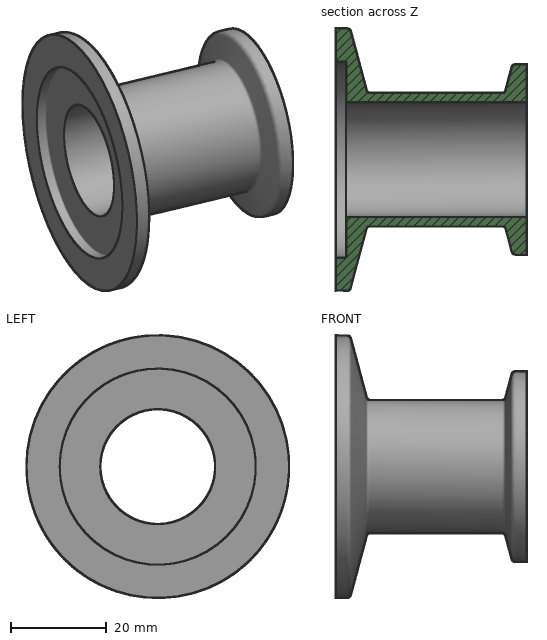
import cadquery as cq
import math

length = 40.0
large_flange_diameter = 55.0
small_flange_diameter = 40.0
tube_diameter = 28.0
bore_diameter = 24.0

rim_width = 3.0
cone_angle = 15.0
rim_round = 1.0
root_round = 0.5

recess_diameter = 41.05
recess_depth = 2.2
recess_floor_round = 0.3


def cone_root(flange_diameter):
    """Distance from a flange face to where its conical back meets the tube."""
    cone_height = (flange_diameter - tube_diameter) / 2
    return rim_width + cone_height * math.tan(math.radians(cone_angle))


def circle_at(x, diameter):
    """Selector for the edge circle of the given diameter in the plane at x."""
    reach = diameter / 2 + 0.05
    half_thickness = 0.05
    return cq.selectors.BoxSelector(
        (x - half_thickness, -reach, -reach),
        (x + half_thickness, reach, reach),
        boundingbox=True,
    )


def make_body():
    """Solid outer shape, with rounded rims and cone roots."""
    large_radius = large_flange_diameter / 2
    small_radius = small_flange_diameter / 2
    tube_radius = tube_diameter / 2
    large_root = cone_root(large_flange_diameter)
    small_root = length - cone_root(small_flange_diameter)
    small_rim = length - rim_width

    profile = [
        (0, 0),
        (0, large_radius),
        (rim_width, large_radius),
        (large_root, tube_radius),
        (small_root, tube_radius),
        (small_rim, small_radius),
        (length, small_radius),
        (length, 0),
    ]
    body = cq.Workplane("XY").polyline(profile).close().revolve(360, (0, 0, 0), (1, 0, 0))

    body = body.edges(circle_at(rim_width, large_flange_diameter)).fillet(rim_round)
    body = body.edges(circle_at(small_rim, small_flange_diameter)).fillet(rim_round)
    body = body.edges(circle_at(large_root, tube_diameter)).fillet(root_round)
    return body.edges(circle_at(small_root, tube_diameter)).fillet(root_round)


def make_recess():
    """Round-bottomed seat cut into the face of the large flange."""
    seat = cq.Workplane("YZ").circle(recess_diameter / 2).extrude(recess_depth)
    return seat.faces(">X").edges().fillet(recess_floor_round)


bore = cq.Workplane("YZ").circle(bore_diameter / 2).extrude(length)

result = make_body().cut(make_recess()).cut(bore)